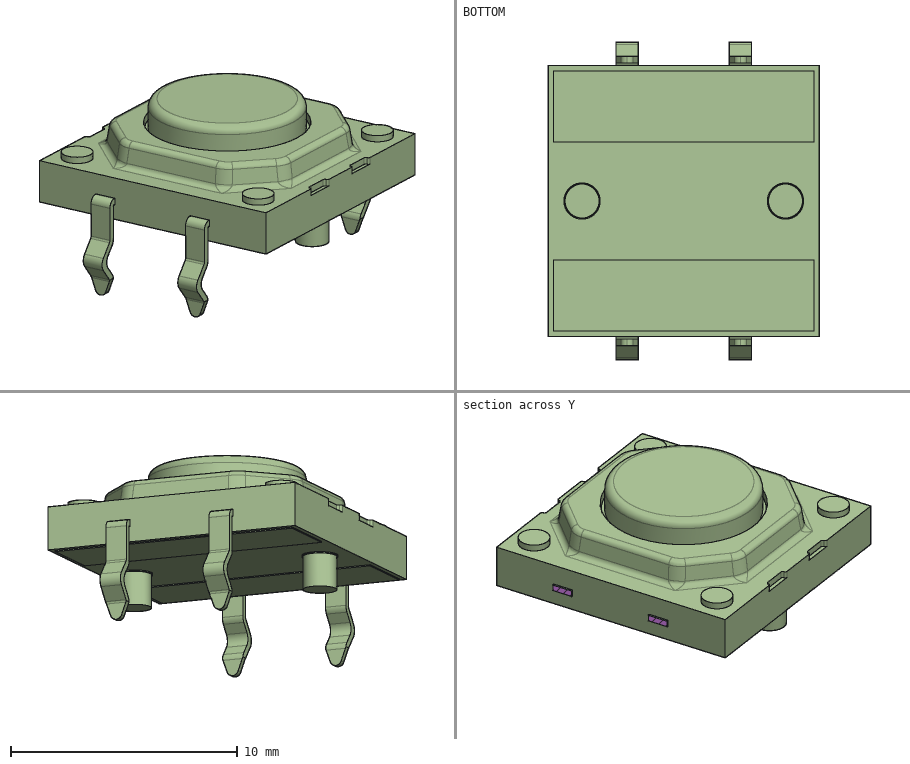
import cadquery as cq
import math


body_side = 12.0
body_height = 1.65
plate_thickness = 0.31
plate_top = body_height + plate_thickness
foot_height = 0.05
foot_outer_y = 5.75
foot_inner_y = 2.6
foot_length = 2 * foot_outer_y

pin_diameter = 1.5
pin_x = 4.5
pin_points = [(-pin_x, 0), (pin_x, 0)]
pin_bottom = -1.55
pin_pad_diameter = 1.6

rivet_diameter = 1.4
rivet_height = 0.3
rivet_offset = 4.8
rivet_points = [(sx * rivet_offset, sy * rivet_offset) for sx in (-1, 1) for sy in (-1, 1)]

dome_height = 1.2
dome_top = plate_top + dome_height
dome_left = -4.78
dome_right = 4.98
dome_half_y = 4.77
dome_left_cut = 2.15
dome_right_cut = 2.07
dome_draft = 9.0
dome_edge_radius = 0.3
dome_corner_radius = 1.0
select_margin = 0.14

opening_diameter = 7.4
flange_diameter = 7.3
flange_recess = 0.3
button_diameter = 7.0
button_top = 4.25
button_edge_radius = 0.4

notch_y = 1.65
notch_length = 1.3
notch_depth = 0.2
notch_corner_radius = 0.091

leg_x = 2.5
leg_width = 1.0
leg_thickness = 0.3
leg_span = 14.06
leg_outer_y = 6.4
leg_top = 1.0
leg_length_below_feet = 3.5
leg_bottom = -foot_height - leg_length_below_feet
leg_embedding = 0.7
leg_root_y = body_side / 2 - leg_embedding
kink_middle = -1.84
kink_angle = math.radians(40)
shoulder_inner_radius = 0.05
kink_inner_radius = 0.15
tip_start = -2.74
tip_half_width = 0.2
tip_radius = 0.28


def rounded_outline(plane, corners):
    """Closed outline through (a, b, radius) corners, each rounded by its radius."""
    starts = []
    middles = []
    ends = []
    for i, (a, b, radius) in enumerate(corners):
        corner = cq.Vector(a, b)
        previous = cq.Vector(*corners[i - 1][:2])
        following = cq.Vector(*corners[(i + 1) % len(corners)][:2])
        back = (previous - corner).normalized()
        ahead = (following - corner).normalized()
        half_angle = back.getAngle(ahead) / 2
        setback = radius / math.tan(half_angle)
        arc_gap = radius / math.sin(half_angle) - radius
        starts.append(corner + back * setback)
        middles.append(corner + (back + ahead).normalized() * arc_gap)
        ends.append(corner + ahead * setback)

    outline = cq.Workplane(plane).moveTo(ends[-1].x, ends[-1].y)
    for (_, _, radius), start, middle, end in zip(corners, starts, middles, ends):
        outline = outline.lineTo(start.x, start.y)
        if radius > 0:
            outline = outline.threePointArc((middle.x, middle.y), (end.x, end.y))
    return outline.close()


def cylinder(diameter, bottom, top, points=((0, 0),)):
    return (
        cq.Workplane("XY", origin=(0, 0, bottom))
        .pushPoints(points)
        .circle(diameter / 2)
        .extrude(top - bottom)
    )


def make_base():
    """Body and cover plate, one square block."""
    return cq.Workplane("XY").rect(body_side, body_side).extrude(plate_top)


def add_dome(base):
    """Drafted octagon with a flared foot, rounded corners and a rounded rim."""
    left_flat = dome_half_y - dome_left_cut
    right_flat = dome_half_y - dome_right_cut
    octagon = [
        (dome_left, -left_flat),
        (dome_left + dome_left_cut, -dome_half_y),
        (dome_right - dome_right_cut, -dome_half_y),
        (dome_right, -right_flat),
        (dome_right, right_flat),
        (dome_right - dome_right_cut, dome_half_y),
        (dome_left + dome_left_cut, dome_half_y),
        (dome_left, left_flat),
    ]
    dome = (
        cq.Workplane("XY", origin=(0, 0, plate_top))
        .polyline(octagon)
        .close()
        .extrude(dome_height, taper=dome_draft)
    )
    covered = base.union(dome)
    half_zone = dome_right + select_margin
    foot_zone = cq.selectors.BoxSelector(
        (-half_zone, -half_zone, plate_top - select_margin),
        (half_zone, half_zone, plate_top + select_margin),
    )
    covered = covered.edges(foot_zone).fillet(dome_edge_radius)
    wall_zone = cq.selectors.BoxSelector(
        (-half_zone, -half_zone, plate_top + dome_edge_radius),
        (half_zone, half_zone, dome_top - select_margin),
    )
    covered = covered.edges(wall_zone).fillet(dome_corner_radius)
    return covered.faces(">Z").edges().fillet(dome_edge_radius)


def make_notches():
    """Cutters for both plate edges: rounded inner corners and flared, rounded mouths."""
    half_length = notch_length / 2
    edge = body_side / 2
    beyond = edge + notch_depth
    floor = edge - notch_depth
    mouth_half_length = half_length + 2 * notch_corner_radius
    notch = rounded_outline("XY", [
        (beyond, -mouth_half_length, 0),
        (edge, -mouth_half_length, 0),
        (edge, -half_length, notch_corner_radius),
        (floor, -half_length, notch_corner_radius),
        (floor, half_length, notch_corner_radius),
        (edge, half_length, notch_corner_radius),
        (edge, mouth_half_length, 0),
        (beyond, mouth_half_length, 0),
    ]).extrude(plate_thickness)
    right_pair = notch.translate((0, notch_y, body_height)).union(
        notch.translate((0, -notch_y, body_height))
    )
    return right_pair.union(right_pair.mirror("YZ"))


def make_button():
    flange = cylinder(flange_diameter, body_height, dome_top - flange_recess)
    cap = cylinder(button_diameter, body_height, button_top)
    return flange.union(cap.faces(">Z").edges().fillet(button_edge_radius))


def make_leg():
    """Leg on the +Y side, centred on X = 0: kinked strip with a tapered tip."""
    inner_y = leg_outer_y - leg_thickness
    miter = leg_thickness * math.tan(kink_angle / 2)
    apex_thickness = leg_thickness / math.cos(kink_angle)
    shoulder_outer_radius = shoulder_inner_radius + leg_thickness
    kink_outer_radius = kink_inner_radius + leg_thickness
    apex_y = leg_span / 2 + kink_outer_radius * (1 / math.cos(kink_angle) - 1)
    kink_half_height = (apex_y - leg_outer_y) / math.tan(kink_angle)
    kink_top = kink_middle + kink_half_height
    kink_bottom = kink_middle - kink_half_height
    strip = rounded_outline("YZ", [
        (leg_root_y, leg_top, 0),
        (leg_outer_y, leg_top, shoulder_outer_radius),
        (leg_outer_y, kink_top, kink_inner_radius),
        (apex_y, kink_middle, kink_outer_radius),
        (leg_outer_y, kink_bottom, kink_inner_radius),
        (leg_outer_y, leg_bottom, 0),
        (inner_y, leg_bottom, 0),
        (inner_y, kink_bottom + miter, kink_outer_radius),
        (apex_y - apex_thickness, kink_middle, kink_outer_radius),
        (inner_y, kink_top - miter, kink_outer_radius),
        (inner_y, leg_top - leg_thickness, shoulder_inner_radius),
        (leg_root_y, leg_top - leg_thickness, 0),
    ]).extrude(leg_width / 2, both=True)

    half_width = leg_width / 2
    silhouette = rounded_outline("XZ", [
        (-half_width, leg_top, 0),
        (-half_width, tip_start, 0),
        (-tip_half_width, leg_bottom, tip_radius),
        (tip_half_width, leg_bottom, tip_radius),
        (half_width, tip_start, 0),
        (half_width, leg_top, 0),
    ]).extrude(-body_side)
    return strip.intersect(silhouette)


def make_feet():
    """Two long stand-off strips and a round pad at the root of each pin."""
    strip_width = foot_outer_y - foot_inner_y
    strip_y = (foot_outer_y + foot_inner_y) / 2
    strips = (
        cq.Workplane("XY", origin=(0, 0, -foot_height))
        .pushPoints([(0, -strip_y), (0, strip_y)])
        .rect(foot_length, strip_width)
        .extrude(foot_height)
    )
    return strips.union(cylinder(pin_pad_diameter, -foot_height, 0, pin_points))


result = add_dome(make_base())
result = result.cut(cylinder(opening_diameter, body_height, dome_top))
result = result.cut(make_notches())
result = result.union(make_button())
result = result.union(cylinder(rivet_diameter, plate_top, plate_top + rivet_height, rivet_points))
result = result.union(make_feet())
result = result.union(cylinder(pin_diameter, pin_bottom, 0, pin_points))

leg = make_leg()
for x in (-leg_x, leg_x):
    placed_leg = leg.translate((x, 0, 0))
    result = result.union(placed_leg).union(placed_leg.mirror("XZ"))